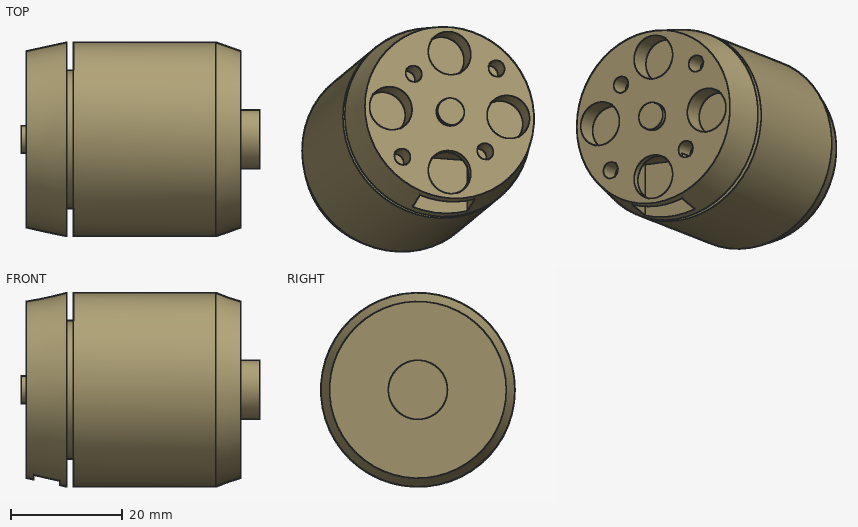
import cadquery as cq
import math

front_face_x = 0.9
front_bell_end_x = 8.25
can_start_x = 9.4
rear_taper_x = 35.05
rear_face_x = 39.55
shaft_end_x = 43.0

can_diameter = 35.0
end_face_diameter = 31.8
neck_diameter = 25.0
hub_diameter = 5.0
shaft_diameter = 10.65

hole_depth = 4.3
vent_diameter = 8.0
vent_circle_radius = 11.05
screw_diameter = 3.0
inner_screw_radius = 9.5
outer_screw_radius = 12.5

window_start_x = 2.3
window_end_x = 6.92
window_width = 10.3
window_top_z = -vent_circle_radius + vent_diameter / 2


def turned_body():
    """Revolve the half profile of the bell, neck, can and shaft about X."""
    can_radius = can_diameter / 2
    face_radius = end_face_diameter / 2
    profile = (
        cq.Workplane("XY")
        .polyline([
            (0, 0),
            (0, hub_diameter / 2),
            (front_face_x, hub_diameter / 2),
            (front_face_x, face_radius),
            (front_bell_end_x, can_radius),
            (front_bell_end_x, neck_diameter / 2),
            (can_start_x, neck_diameter / 2),
            (can_start_x, can_radius),
            (rear_taper_x, can_radius),
            (rear_face_x, face_radius),
            (rear_face_x, shaft_diameter / 2),
            (shaft_end_x, shaft_diameter / 2),
            (shaft_end_x, 0),
        ])
        .close()
    )
    return profile.revolve(360, (0, 0, 0), (1, 0, 0))


def face_holes(diameter, circle_radius, angles):
    """Blind holes in the front face, at angles measured from +Y towards +Z."""
    radians = [math.radians(angle) for angle in angles]
    centers = [(circle_radius * math.cos(a), circle_radius * math.sin(a)) for a in radians]
    return (
        cq.Workplane("YZ", origin=(front_face_x, 0, 0))
        .pushPoints(centers)
        .circle(diameter / 2)
        .extrude(hole_depth)
    )


def underside_window():
    """Rectangular opening running down from the top of the lowest vent."""
    return cq.Workplane("XY").box(
        window_end_x - window_start_x,
        window_width,
        window_top_z + can_diameter / 2,
        centered=(False, True, False),
    ).translate((window_start_x, 0, -can_diameter / 2))


result = (
    turned_body()
    .cut(face_holes(vent_diameter, vent_circle_radius, (0, 90, 180, 270)))
    .cut(face_holes(screw_diameter, inner_screw_radius, (45, 225)))
    .cut(face_holes(screw_diameter, outer_screw_radius, (135, 315)))
    .cut(underside_window())
)